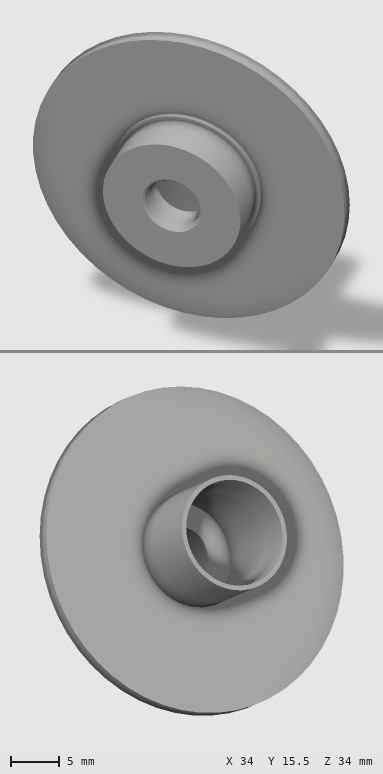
import cadquery as cq

disc_diameter = 34.0
front_hub_diameter = 15.0
shoulder_diameter = 16.0
rear_hub_diameter = 12.0
bore_diameter = 6.0
bore_chamfer = 0.2
rear_bore_diameter = 11.0

front_hub_length = 4.5
shoulder_length = 0.5
disc_thickness = 1.5
rear_hub_length = 9.0
front_bore_length = 3.5

shoulder_start = front_hub_length
disc_start = shoulder_start + shoulder_length
rear_hub_start = disc_start + disc_thickness
total_length = rear_hub_start + rear_hub_length


def cylinder_along_y(diameter, start, length):
    """Cylinder on the Y axis, running toward +Y from start."""
    base = cq.Workplane("XZ", origin=(0, start, 0))
    return base.circle(diameter / 2).extrude(-length)


front_hub = cylinder_along_y(front_hub_diameter, 0, front_hub_length)
shoulder = cylinder_along_y(shoulder_diameter, shoulder_start, shoulder_length)
disc = cylinder_along_y(disc_diameter, disc_start, disc_thickness)
rear_hub = cylinder_along_y(rear_hub_diameter, rear_hub_start, rear_hub_length)
body = front_hub.union(shoulder).union(disc).union(rear_hub)

front_bore = cylinder_along_y(bore_diameter, 0, front_bore_length)
rear_bore = cylinder_along_y(rear_bore_diameter, front_bore_length, total_length - front_bore_length)
bored_body = body.cut(front_bore).cut(rear_bore)
bore_mouth = cq.selectors.RadiusNthSelector(0)
result = bored_body.faces("<Y").edges(bore_mouth).chamfer(bore_chamfer)